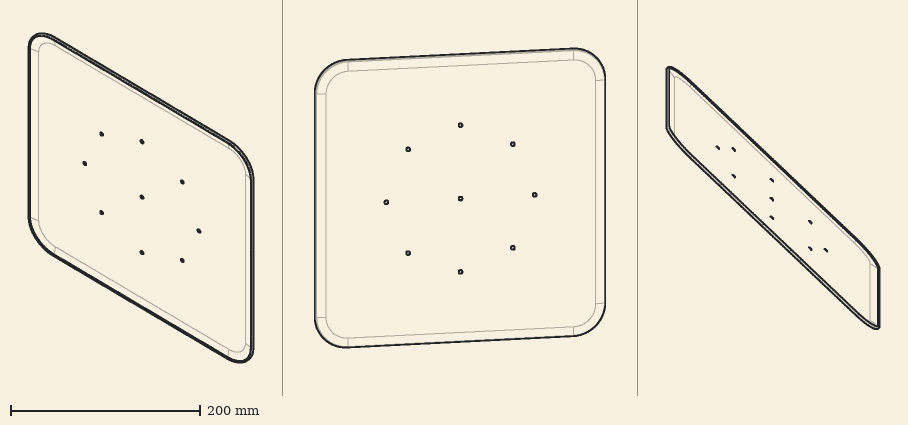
import cadquery as cq

side = 313.5
depth = 5.0
corner_radius = 35.0

thickness = 2.0
rim_step = 1.3
rim_height = rim_step + thickness
rim_edge_radius = 0.78

front_slope_start = 2.0
front_slope_end = 12.0
back_slope_start = 1.5
back_slope_end = 11.3

hole_diameter = 4.0
hole_circle_radius = 80.0
ring_hole_count = 8

front_y = -depth / 2
back_y = depth / 2
wall_front_y = front_y + rim_step
rim_back_y = front_y + rim_height
floor_y = back_y - thickness


def slab(inset, y_start, y_end):
    """Plate with rounded corners between two levels, set in evenly from the outer outline."""
    size = side - 2 * inset
    return (
        cq.Workplane("XZ", origin=(0, y_start, 0))
        .rect(size, size)
        .extrude(y_start - y_end)
        .edges("|Y")
        .fillet(corner_radius - inset)
    )


def tapered_slab(start_inset, y_start, end_inset, y_end):
    """Sloping-sided plate between two concentric outlines."""
    start_outline = slab(start_inset, y_start, y_end).faces("<Y").wires().val()
    end_outline = slab(end_inset, y_start, y_end).faces(">Y").wires().val()
    return cq.Workplane(cq.Solid.makeLoft([start_outline, end_outline], True))


def tray_body():
    """Rim plate with rounded edges, plus the raised back behind the floor."""
    rim = slab(0, front_y, rim_back_y).faces("<Y or >Y").edges().fillet(rim_edge_radius)
    raised_back = tapered_slab(back_slope_start, rim_back_y, back_slope_end, back_y)
    return rim.union(raised_back)


def tray_hollow():
    """Space inside the tray: a straight step below the rim, then the sloping wall down to the floor."""
    step = slab(front_slope_start, front_y, wall_front_y)
    dish = tapered_slab(front_slope_start, wall_front_y, front_slope_end, floor_y)
    return step.union(dish)


def mounting_holes():
    """Cylinders through the whole depth for the centre hole and the ring."""
    plane = cq.Workplane("XZ", origin=(0, front_y, 0))
    centre = plane.circle(hole_diameter / 2).extrude(-depth)
    ring = (
        plane.polarArray(hole_circle_radius, 0, 360, ring_hole_count)
        .circle(hole_diameter / 2)
        .extrude(-depth)
    )
    return centre.union(ring)


result = tray_body().cut(tray_hollow()).cut(mounting_holes())